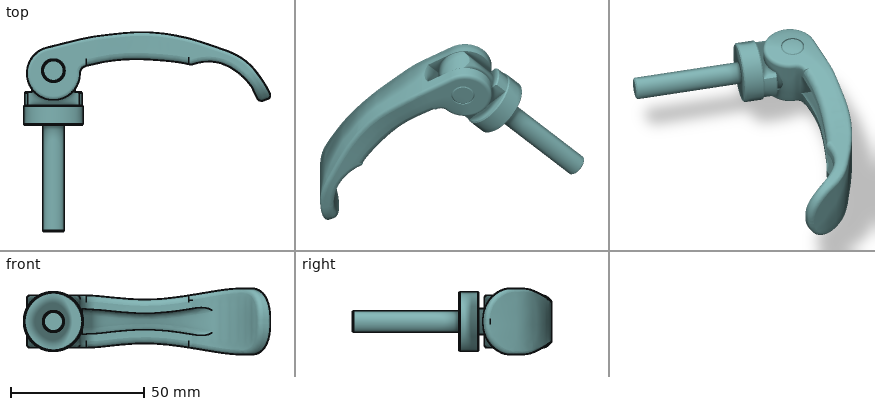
import cadquery as cq
import math


eye_radius = 10.0
eye_offset = 1.0
lever_half_width = 9.9
edge_round = 1.4
neck_radius = 2.8
back_slope = math.radians(14.5)
belly_slope = math.radians(15)

arm_start = (10.0, 11.8)
rim = (51.8, 2.1)
tip_top = (82.0, -10.1)
tip_bottom = (77.0, -12.1)
paddle_half_width = 12.49
paddle_start_x = 71.5
tip_corner_radius = 11.6
belly_round = 2.4
paddle_round = 1.9

back_points = [arm_start, (21.8, 13.65), (31.6, 14.5), (41.7, 13.9), (51.9, 11.9), (61.2, 8.9),
               (70.3, 5.0), (75.1, 0.9), (79.0, -4.4), tip_top]
dish_points = [rim, (56.2, 3.25), (62.6, 2.9), (69.5, -0.8), (74.5, -6.0), tip_bottom]
neck_end = (
    eye_radius + neck_radius * (1 - math.sin(belly_slope)),
    neck_radius * math.cos(belly_slope) - eye_offset,
)
belly_points = [neck_end, (21.8, 3.7), (32.5, 4.3), (41.7, 3.7), rim]

side_points = [(arm_start[0], lever_half_width), (21.9, 9.1), (34.8, 8.3), (51.5, 9.9), (61.6, 11.6),
               (paddle_start_x, paddle_half_width)]

belly_start_x = neck_end[0] + 0.3
belly_end_x = rim[0] - 0.9
belly_low_y = -4.6
belly_high_y = 7.4

flange_width = 5.2
channel_start_x = 10.8
channel_floor_round = 2.2
floor_points = [(9.3, 6.0), (21.35, 8.2), (32.5, 9.0), (42.7, 8.3), (52.9, 5.7), (63.1, 2.1)]
channel_low_y = -18.6
channel_end_x = 65.0

slot_half_width = 4.9
slot_end_radius = 8.9
pin_radius = 4.4
pin_chamfer = 0.6

head_half_width = 4.7
head_end_radius = 9.9
head_radius = 8.2
tongue_radius = 10.9
tongue_top_y = -8.0
tongue_chamfer = 0.5
washer_radius = 11.2
washer_top_y = -13.0
washer_bottom_y = -20.5
washer_chamfer = 0.5
rod_radius = 4.1
rod_end_y = -60.6
rod_chamfer = 0.6

reach = 92.8


def slope(angle):
    return (math.cos(angle), math.sin(angle))


def box_between(low, high):
    """Box with the two given opposite corners."""
    size = [b - a for a, b in zip(low, high)]
    return cq.Workplane("XY").box(*size, centered=False).translate(low)


def y_cylinder(radius, top_y, bottom_y):
    """Cylinder about the stud axis."""
    return cq.Workplane("XZ", origin=(0, top_y, 0)).circle(radius).extrude(top_y - bottom_y)


def lever_profile():
    """Side profile of the lever: cam eye, back, tip, dish, belly and neck."""
    eye_top = (-eye_radius * math.sin(back_slope), eye_radius * math.cos(back_slope) - eye_offset)
    eye_side = (eye_radius, -eye_offset)
    eye_far = (-eye_radius * math.sqrt(0.5), -eye_radius * math.sqrt(0.5) - eye_offset)
    half_turn = (math.pi / 2 - belly_slope) / 2
    neck_middle = (
        eye_radius + neck_radius * (1 - math.cos(half_turn)),
        neck_radius * math.sin(half_turn) - eye_offset,
    )
    return (
        cq.Workplane("XY", origin=(0, 0, -reach)).moveTo(*eye_top).lineTo(*arm_start)
        .spline(back_points[1:], tangents=[slope(back_slope), (0.35, -1)], includeCurrent=True)
        .lineTo(*tip_bottom)
        .spline(dish_points[-2::-1], includeCurrent=True)
        .spline(belly_points[-2::-1], tangents=[(-1, 0.3), slope(math.pi + belly_slope)], includeCurrent=True)
        .threePointArc(neck_middle, eye_side)
        .threePointArc(eye_far, eye_top)
        .close()
    )


def waisted_prism(start_x, inset):
    """Prism along Y, bounded by the waisted sides moved inwards by `inset`."""
    upper = [(x, z - inset) for x, z in side_points]
    lower = [(x, -z) for x, z in reversed(upper)]
    ahead, behind = [(1, 0)] * 2, [(-1, 0)] * 2
    return (
        cq.Workplane("XZ", origin=(0, reach, 0)).moveTo(start_x, upper[0][1]).lineTo(*upper[0])
        .spline(upper[1:], tangents=ahead, includeCurrent=True)
        .lineTo(reach, upper[-1][1])
        .lineTo(reach, lower[0][1])
        .lineTo(*lower[0])
        .spline(lower[1:], tangents=behind, includeCurrent=True)
        .lineTo(start_x, lower[-1][1])
        .close()
        .extrude(2 * reach)
    )


def tip_prism():
    """Prism through the thickness of the tip, with the two rounded corners of the paddle end."""
    thickness = cq.Vector(tip_top[0] - tip_bottom[0], tip_top[1] - tip_bottom[1], 0)
    inwards = cq.Vector(-thickness.y, thickness.x, 0)
    plane = cq.Plane(origin=(*tip_bottom, 0), xDir=inwards, normal=thickness)
    return (
        cq.Workplane(plane)
        .workplane(offset=-reach)
        .rect(2 * reach, 2 * paddle_half_width)
        .extrude(2 * reach)
        .edges(cq.selectors.ParallelDirSelector(thickness))
        .fillet(tip_corner_radius)
        .translate(inwards.normalized() * reach)
    )


def rounded_lever():
    """Lever without its openings; the belly between neck and rim has the larger rounding."""
    blank = lever_profile().extrude(2 * reach).intersect(waisted_prism(-reach, 0)).intersect(tip_prism())
    eye_edge = cq.selectors.NearestToPointSelector((0, -eye_radius, lever_half_width))
    dish_edge = cq.selectors.NearestToPointSelector((61.8, 1.95, 11.5))
    slim = blank.edges(dish_edge).fillet(paddle_round).edges(eye_edge).fillet(edge_round)
    full = blank.edges(eye_edge).fillet(belly_round)
    belly = box_between((belly_start_x, belly_low_y, -reach), (belly_end_x, belly_high_y, reach))
    return slim.cut(belly).union(full.intersect(belly))


def channel():
    """Waisted channel under the arm, with rounded floor corners, running out into the dish."""
    below_floor = (
        cq.Workplane("XY", origin=(0, 0, -reach)).moveTo(*floor_points[0])
        .spline(floor_points[1:], includeCurrent=True)
        .lineTo(channel_end_x, channel_low_y)
        .lineTo(floor_points[0][0], channel_low_y)
        .close()
        .extrude(2 * reach)
    )
    before_start = box_between((-reach, -reach, -reach), (channel_start_x, reach, reach))
    cutter = waisted_prism(-reach, flange_width).intersect(below_floor).cut(before_start)
    arm_length = rim[0] - arm_start[0]
    floor_edges = [
        edge for edge in cutter.edges().vals()
        if edge.Length() > arm_length and edge.Center().y > rim[1]
    ]
    return cutter.newObject(floor_edges).fillet(channel_floor_round)


def fork_slot():
    """Slot open towards -X, closed by a round end about the stud axis."""
    open_side = box_between((-reach, -reach, -slot_half_width), (0, reach, slot_half_width))
    slab = box_between((-reach, -reach, -slot_half_width), (reach, reach, slot_half_width))
    return open_side.union(y_cylinder(slot_end_radius, reach, -reach).intersect(slab))


def pin(chamfer):
    """Pivot pin across the whole lever, flush with both cheeks."""
    blank = (
        cq.Workplane("XY", origin=(0, 0, -lever_half_width))
        .circle(pin_radius)
        .extrude(2 * lever_half_width)
    )
    return blank.edges().chamfer(chamfer) if chamfer else blank


def make_lever():
    return rounded_lever().cut(channel()).cut(fork_slot()).cut(pin(0))


def stud_head():
    """Flat head in the fork, rounded to match the cam eye."""
    round_end = (
        cq.Workplane("XY", origin=(0, -eye_offset, -head_half_width))
        .circle(head_end_radius)
        .extrude(2 * head_half_width)
    )
    shank = box_between((-reach, washer_top_y, -head_half_width), (reach, -eye_offset, head_half_width))
    return y_cylinder(head_radius, reach, washer_top_y).intersect(round_end.union(shank))


def tongue():
    """Flat-sided tongue of the washer, between the fork cheeks."""
    sides = box_between((-reach, -reach, -slot_half_width), (reach, reach, slot_half_width))
    return (
        y_cylinder(tongue_radius, tongue_top_y, washer_top_y)
        .faces(">Y").edges().chamfer(tongue_chamfer)
        .intersect(sides)
    )


def make_stud():
    """Threaded stud with washer, tongue, head and pivot pin in one piece."""
    washer = y_cylinder(washer_radius, washer_top_y, washer_bottom_y).edges().chamfer(washer_chamfer)
    rod = y_cylinder(rod_radius, washer_bottom_y, rod_end_y).faces("<Y").edges().chamfer(rod_chamfer)
    return washer.union(rod).union(tongue()).union(stud_head()).union(pin(pin_chamfer))


lever = make_lever()
stud = make_stud()

result = cq.Compound.makeCompound([lever.val(), stud.val()])